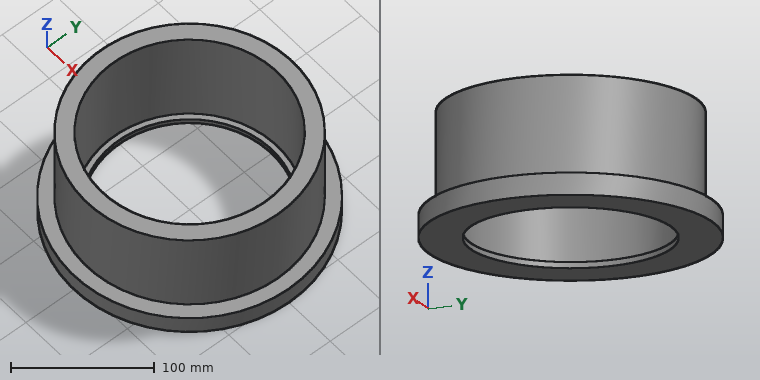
import cadquery as cq

flange_diameter = 212.0
total_height = 90.5
flange_thickness = 16.1

sleeve_diameter = 188.0
bore_diameter = 160.0

lip_diameter = 150.0
lip_thickness = 4.5

flange = cq.Workplane("XY").circle(flange_diameter / 2).extrude(flange_thickness)
sleeve = cq.Workplane("XY").circle(sleeve_diameter / 2).extrude(total_height)

bore = (
    cq.Workplane("XY")
    .workplane(offset=lip_thickness)
    .circle(bore_diameter / 2)
    .extrude(total_height - lip_thickness)
)
lip_opening = cq.Workplane("XY").circle(lip_diameter / 2).extrude(total_height)

result = flange.union(sleeve).cut(bore).cut(lip_opening)